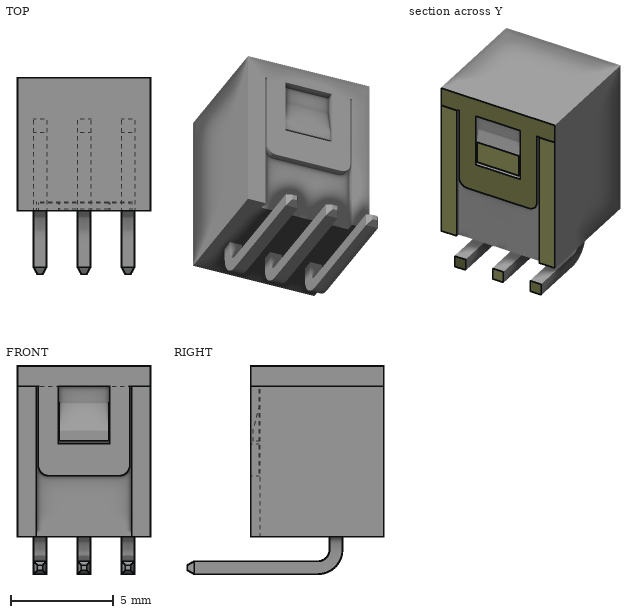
import cadquery as cq

total_height = 10.17
total_depth = 9.6
body_width = 6.5
body_depth = 6.5
body_height = 8.35
cap_thickness = 1.0

channel_width = 4.65
channel_depth = 0.45
tab_width = 4.45
tab_thickness = 0.4
tab_length = 4.36
tab_corner_radius = 0.5

window_width = 2.5
window_height = 2.81

latch_width = 2.4
latch_projection = 0.36
latch_top_drop = 0.81
latch_nose_drop = 2.17
latch_bottom_drop = 2.65

pin_count = 3
pin_pitch = 2.15
pin_size = 0.64
pin_inset = 2.01
bend_inner_radius = 0.57
tip_length = 0.36
tip_size = 0.25

front_y = -body_depth / 2
back_y = body_depth / 2
channel_floor_y = front_y + channel_depth
tab_back_y = front_y + tab_thickness
underside_z = total_height - body_height
cap_seat_z = total_height - cap_thickness
pin_tip_y = back_y - total_depth


def box_between(width, y_start, y_end, z_start, z_end):
    """Box centred on X that spans the given Y and Z ranges."""
    return (
        cq.Workplane("XY")
        .box(width, y_end - y_start, z_end - z_start, centered=(True, False, False))
        .translate((0, y_start, z_start))
    )


def make_latch():
    """Wedge that slopes out from the channel floor to a flat nose."""
    nose_y = channel_floor_y - latch_projection
    bottom_z = cap_seat_z - latch_bottom_drop
    return (
        cq.Workplane("YZ")
        .moveTo(channel_floor_y, cap_seat_z - latch_top_drop)
        .lineTo(nose_y, cap_seat_z - latch_nose_drop)
        .lineTo(nose_y, bottom_z)
        .lineTo(channel_floor_y, bottom_z)
        .close()
        .extrude(latch_width / 2, both=True)
    )


def make_housing():
    """Block with a full-height front channel and the latch wedge on the channel floor."""
    block = box_between(body_width, front_y, back_y, underside_z, cap_seat_z)
    channel = box_between(channel_width, front_y, channel_floor_y, underside_z, cap_seat_z)
    return block.cut(channel).union(make_latch())


def make_cap():
    """Flat plate with a round-cornered front tab, whose window fits over the latch."""
    plate = box_between(body_width, front_y, back_y, cap_seat_z, total_height)
    tab = box_between(tab_width, front_y, tab_back_y, cap_seat_z - tab_length, cap_seat_z)
    tab = tab.edges("|Y and <Z").fillet(tab_corner_radius)
    window = box_between(window_width, front_y, tab_back_y, cap_seat_z - window_height, cap_seat_z)
    return plate.union(tab.cut(window))


def make_pin(x):
    """Square pin that drops from the underside, bends forward and ends in a tapered tip."""
    bend_radius = bend_inner_radius + pin_size / 2
    shank_y = back_y - pin_inset - pin_size / 2
    leg_z = pin_size / 2
    bend_z = leg_z + bend_radius
    leg_start_y = shank_y - bend_radius
    taper_y = pin_tip_y + tip_length

    path = (
        cq.Workplane("YZ", origin=(x, 0, 0))
        .moveTo(shank_y, underside_z)
        .lineTo(shank_y, bend_z)
        .tangentArcPoint((leg_start_y, leg_z), relative=False)
        .lineTo(taper_y, leg_z)
    )
    bar = cq.Workplane("XY", origin=(x, shank_y, underside_z)).rect(pin_size, pin_size).sweep(path)
    tip = (
        cq.Workplane("XZ", origin=(x, taper_y, leg_z))
        .rect(pin_size, pin_size)
        .workplane(offset=tip_length)
        .rect(tip_size, tip_size)
        .loft(ruled=True)
    )
    return bar.union(tip)


housing = make_housing()
cap = make_cap()
pins = [make_pin((index - (pin_count - 1) / 2) * pin_pitch) for index in range(pin_count)]

result = cq.Compound.makeCompound([housing.val(), cap.val(), *[pin.val() for pin in pins]])